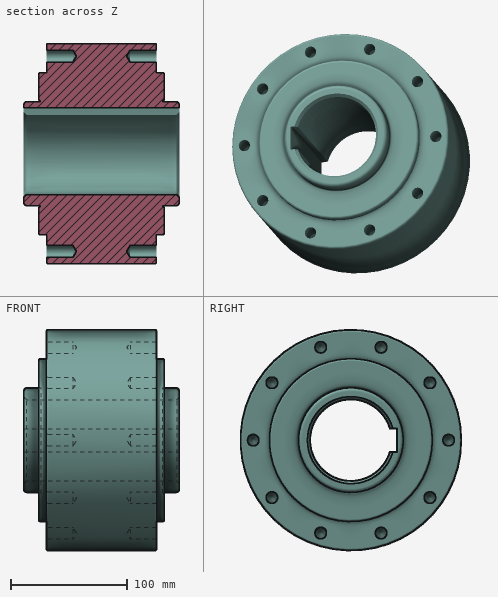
import cadquery as cq
import math

body_diameter = 190.0
body_length = 95.0
cover_diameter = 140.0
cover_length = 108.3
hub_diameter = 90.0
hub_length = 134.0

body_edge_round = 1.9
cover_edge_round = 1.9
hub_edge_round = 3.0
bore_chamfer = 2.5
cover_lip_round = 1.9

bore_diameter = 70.0
keyway_width = 20.0
keyway_reach = 39.5

bolt_circle_diameter = 168.0
bolt_hole_count = 10
bolt_hole_diameter = 9.9
bolt_hole_depth = 22.8
drill_tip_angle = 118.0


def stage(diameter, length, edge_round):
    """Solid cylinder along X with both rims rounded."""
    blank = cq.Workplane("YZ", origin=(-length / 2, 0, 0)).circle(diameter / 2).extrude(length)
    return blank.faces("<X or >X").edges().fillet(edge_round)


def hub_groove():
    """Narrow groove around the hub, left by rounding the inner lip of the left cover face."""
    hub_radius = hub_diameter / 2
    lip_radius = hub_radius + cover_lip_round
    face_x = -cover_length / 2
    groove_end_x = face_x + cover_lip_round
    diagonal = cover_lip_round * math.sqrt(0.5)
    lip_midpoint = (groove_end_x - diagonal, lip_radius - diagonal)
    profile = (
        cq.Workplane("XY")
        .moveTo(face_x, hub_radius)
        .lineTo(face_x, lip_radius)
        .threePointArc(lip_midpoint, (groove_end_x, hub_radius))
        .close()
    )
    return profile.revolve(360, (0, 0, 0), (1, 0, 0))


def keyed_bore():
    """Through bore with chamfered mouths and a keyway on the +Y side."""
    bore_radius = bore_diameter / 2
    end_x = hub_length / 2
    mouth_radius = bore_radius + bore_chamfer
    profile = [
        (-end_x, 0),
        (-end_x, mouth_radius),
        (-end_x + bore_chamfer, bore_radius),
        (end_x - bore_chamfer, bore_radius),
        (end_x, mouth_radius),
        (end_x, 0),
    ]
    bore = cq.Workplane("XY").polyline(profile).close().revolve(360, (0, 0, 0), (1, 0, 0))
    keyway = cq.Workplane("XY").box(
        hub_length, keyway_reach, keyway_width, centered=(True, False, True)
    )
    return bore.union(keyway)


def bolt_hole(angle):
    """Drilled hole with a conical bottom in the left body face; angle is measured from +Y."""
    hole_radius = bolt_hole_diameter / 2
    tip_length = hole_radius / math.tan(math.radians(drill_tip_angle / 2))
    face_x = -body_length / 2
    profile = [
        (face_x, 0),
        (face_x, hole_radius),
        (face_x + bolt_hole_depth, hole_radius),
        (face_x + bolt_hole_depth + tip_length, 0),
    ]
    drill = cq.Workplane("XY").polyline(profile).close().revolve(360, (0, 0, 0), (1, 0, 0))
    return drill.translate((0, bolt_circle_diameter / 2, 0)).rotate((0, 0, 0), (1, 0, 0), angle)


def both_ends(left_cutter):
    """A left-end cutter together with its mirror image at the right end."""
    return left_cutter.union(left_cutter.mirror("YZ"))


result = (
    stage(body_diameter, body_length, body_edge_round)
    .union(stage(cover_diameter, cover_length, cover_edge_round))
    .cut(both_ends(hub_groove()))
    .union(stage(hub_diameter, hub_length, hub_edge_round))
    .cut(keyed_bore())
)

for index in range(bolt_hole_count):
    result = result.cut(both_ends(bolt_hole(index * 360 / bolt_hole_count)))